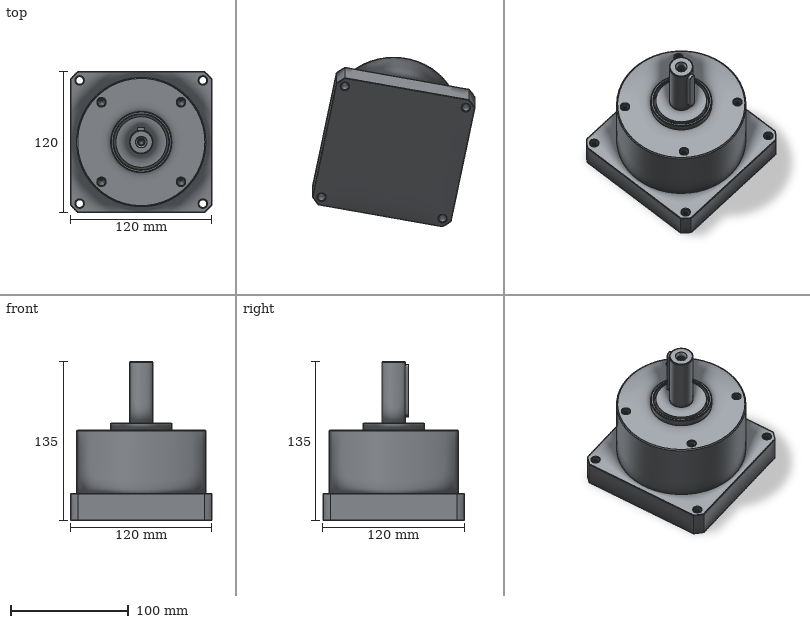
import cadquery as cq
import math

total_height = 135.0

flange_width = 120.0
flange_height = 22.8
flange_corner_diameter = 161.0
flange_chamfer = 0.4
corner_hole_spacing = 104.8
corner_hole_diameter = 6.6
corner_hole_rim_diameter = 8.0

body_diameter = 110.0
body_top = 77.0
body_chamfer = 1.0

face_hole_spacing = 67.6
face_hole_diameter = 6.6
face_hole_rim_diameter = 8.0
face_hole_depth = 10.8
drill_tip_angle = 118.0

collar_diameter = 52.0
collar_top = 82.8
collar_chamfer = 0.5
bore_diameter = 47.0
bore_rim_diameter = 48.0
groove_depth = 6.8
seat_depth = 9.5

shaft_diameter = 20.0
shaft_chamfer = 0.5
disc_diameter = 43.0
center_hole_rim_diameter = 9.7
center_hole_diameter = 6.3
center_drill_diameter = 4.9
center_cone_depth = 2.8
center_bore_depth = 5.4
center_drill_depth = 16.2

key_width = 6.0
key_length = 44.8
key_bottom = 87.8
key_outer_y = 12.5

seat_floor = collar_top - seat_depth
groove_floor = collar_top - groove_depth


def drill_tip_length(diameter):
    """Length of the conical end that a drill of this diameter leaves."""
    return diameter / 2 / math.tan(math.radians(drill_tip_angle / 2))


def make_flange():
    square = cq.Workplane("XY").rect(flange_width, flange_width).extrude(flange_height)
    corner_round = cq.Workplane("XY").circle(flange_corner_diameter / 2).extrude(flange_height)
    return square.intersect(corner_round).faces("<Z or >Z").chamfer(flange_chamfer)


def make_cylinder(diameter, bottom, top, chamfer):
    """Upright cylinder with a chamfered top edge."""
    cylinder = cq.Workplane("XY").workplane(offset=bottom).circle(diameter / 2).extrude(top - bottom)
    return cylinder.faces(">Z").chamfer(chamfer)


def make_revolved(profile):
    """Solid of revolution about Z from (radius, height) points."""
    return cq.Workplane("XZ").polyline(profile).close().revolve(360, (0, 0, 0), (0, 1, 0))


def make_corner_hole():
    radius = corner_hole_diameter / 2
    rim = corner_hole_rim_diameter / 2
    return make_revolved([
        (0, 0),
        (rim, 0),
        (radius, rim - radius),
        (radius, flange_height - (rim - radius)),
        (rim, flange_height),
        (0, flange_height),
    ])


def make_face_hole():
    radius = face_hole_diameter / 2
    rim = face_hole_rim_diameter / 2
    hole_end = body_top - face_hole_depth
    return make_revolved([
        (0, body_top),
        (rim, body_top),
        (radius, body_top - (rim - radius)),
        (radius, hole_end),
        (0, hole_end - drill_tip_length(face_hole_diameter)),
    ])


def make_bore():
    radius = bore_diameter / 2
    rim = bore_rim_diameter / 2
    return make_revolved([
        (0, seat_floor),
        (radius, seat_floor),
        (radius, collar_top - (rim - radius)),
        (rim, collar_top),
        (0, collar_top),
    ])


def square_pattern(spacing):
    """Centres at the four corners of a square about Z."""
    half = spacing / 2
    return [(x, y, 0) for x in (-half, half) for y in (-half, half)]


def make_housing():
    housing = make_flange()
    housing = housing.union(make_cylinder(body_diameter, flange_height / 2, body_top, body_chamfer))
    housing = housing.union(make_cylinder(collar_diameter, flange_height, collar_top, collar_chamfer))
    housing = housing.cut(make_bore())
    for center in square_pattern(corner_hole_spacing):
        housing = housing.cut(make_corner_hole().translate(center))
    for center in square_pattern(face_hole_spacing):
        housing = housing.cut(make_face_hole().translate(center))
    return housing


def make_center_hole():
    """Countersunk centre hole in the shaft end, stepping down to a drilled end."""
    rim = center_hole_rim_diameter / 2
    bore = center_hole_diameter / 2
    drill = center_drill_diameter / 2
    drill_end = total_height - center_drill_depth
    return make_revolved([
        (0, total_height),
        (rim, total_height),
        (bore, total_height - center_cone_depth),
        (bore, total_height - center_bore_depth),
        (drill, total_height - center_bore_depth),
        (drill, drill_end),
        (0, drill_end - drill_tip_length(center_drill_diameter)),
    ])


def make_key():
    """Key with rounded ends, standing on the +Y side of the shaft."""
    key_center = key_bottom + key_length / 2
    return (
        cq.Workplane("XZ")
        .center(0, key_center)
        .slot2D(key_length, key_width, 90)
        .extrude(-key_outer_y)
    )


def make_shaft():
    """Shaft, its disc seated in the housing bore, and its key, as one solid."""
    seat = cq.Workplane("XY").workplane(offset=seat_floor).circle(bore_diameter / 2)
    shaft = seat.extrude(groove_floor - seat_floor)
    disc = cq.Workplane("XY").workplane(offset=seat_floor).circle(disc_diameter / 2)
    shaft = shaft.union(disc.extrude(collar_top - seat_floor))
    shaft = shaft.union(make_cylinder(shaft_diameter, seat_floor, total_height, shaft_chamfer))
    shaft = shaft.union(make_key())
    return shaft.cut(make_center_hole())


housing = make_housing()
shaft = make_shaft()

result = cq.Compound.makeCompound([housing.val(), shaft.val()])